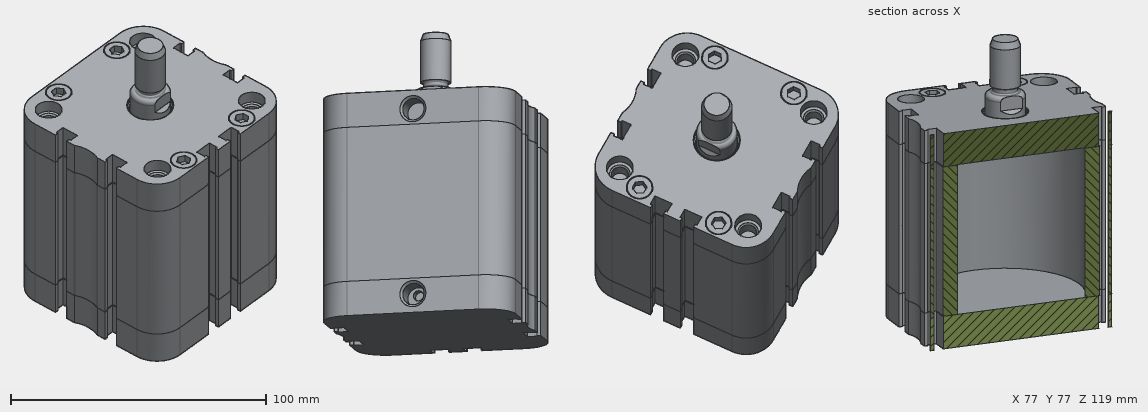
import cadquery as cq
import math


total_height = 119.0
body_width = 77.0
body_height = 89.0
cap_height = 13.7
barrel_height = body_height - 2 * cap_height
corner_radius = 12.0
half_width = body_width / 2
bore_diameter = 63.0

slot_mouth = 5.8
slot_lip = 1.5
cap_slot_width = 7.5
cap_slot_depth = 5.5
barrel_slot_width = 6.8
barrel_slot_depth = 5.1
front_slot_offset = 12.9
side_slot_offset = 6.5

flute_depth = 1.3
flute_width = 11.9
barrel_flute_fillet = 1.0

mount_offset = 28.2
mount_bore_diameter = 10.5
mount_bore_depth = 5.0
mount_cone_diameter = 8.0
mount_thread_diameter = 6.7
mount_thread_depth = 10.7

screw_x = 32.4
screw_y = 17.4
screw_recess_diameter = 10.4
screw_head_diameter = 9.8
screw_groove_depth = 2.4
socket_flats = 5.0
socket_depth = 3.0

port_inset = 7.5
port_rim_diameter = 10.5
port_diameter = 8.6
port_depth = 9.5
passage_diameter = 4.0
passage_offset = 1.1
passage_depth = 3.6

rod_diameter = 16.0
seat_rim_diameter = 18.5
seat_diameter = 17.7
seat_depth = 1.2
relief_diameter = 16.5
relief_depth = 2.4
shoulder_height = 8.2
shoulder_fillet = 2.0
flat_width = 13.0
flat_start = 2.6
neck_diameter = 9.8
neck_height = 2.6
neck_fillet = 0.6
thread_diameter = 12.0
tip_diameter = 10.0
tip_height = 2.7


def t_slot(offset, turn, height, width, depth):
    """Cutter for one T-slot in the -Y side, turned about Z by an angle in degrees."""
    mouth = cq.Workplane("XY").box(slot_mouth, 2 * depth, height, centered=(True, True, False))
    room_depth = depth - slot_lip
    room = (
        cq.Workplane("XY")
        .center(0, slot_lip + room_depth / 2)
        .box(width, room_depth, height, centered=(True, True, False))
    )
    cutter = mouth.union(room).translate((offset, -half_width, 0))
    return cutter.rotate((0, 0, 0), (0, 0, 1), turn)


def flute(turn, height):
    """Cutter for the concave flute in the -Y side, turned about Z by an angle in degrees."""
    radius = (flute_width**2 / 4 + flute_depth**2) / (2 * flute_depth)
    cutter = cq.Workplane("XY").center(0, -half_width + flute_depth - radius).circle(radius).extrude(height)
    return cutter.rotate((0, 0, 0), (0, 0, 1), turn)


def profile_block(height, slot_width, slot_depth):
    """Rounded square block with its slots and flutes, standing on Z = 0."""
    block = (
        cq.Workplane("XY")
        .box(body_width, body_width, height, centered=(True, True, False))
        .edges("|Z")
        .fillet(corner_radius)
    )
    for turn, offset in ((0, front_slot_offset), (90, side_slot_offset), (180, front_slot_offset)):
        for side in (-1, 1):
            block = block.cut(t_slot(side * offset, turn, height, slot_width, slot_depth))
    for turn in (0, 180):
        block = block.cut(flute(turn, height))
    return block


def cap_block():
    return profile_block(cap_height, cap_slot_width, cap_slot_depth)


def hole(diameter, depth, rim_diameter):
    """Cutter for a blind hole going down from Z = 0, with a 45 degree countersunk rim."""
    bevel = (rim_diameter - diameter) / 2
    outline = [
        (0, 0),
        (rim_diameter / 2, 0),
        (diameter / 2, -bevel),
        (diameter / 2, -depth),
        (0, -depth),
    ]
    return cq.Workplane("XZ").polyline(outline).close().revolve(360, (0, 0, 0), (0, 1, 0))


def port(height):
    """Cutter for an air port entering the -X face at a given height."""
    cutter = hole(port_diameter, port_depth, port_rim_diameter)
    return cutter.rotate((0, 0, 0), (0, 1, 0), -90).translate((-half_width, 0, height))


def mounting_hole():
    """Cutter for a counterbored mounting hole going down from Z = 0."""
    counterbore = cq.Workplane("XY").circle(mount_bore_diameter / 2).extrude(-mount_bore_depth)
    thread = hole(mount_thread_diameter, mount_thread_depth - mount_bore_depth, mount_cone_diameter)
    return counterbore.union(thread.translate((0, 0, -mount_bore_depth)))


def screw_head(turn):
    """Cutter for the ring groove and hexagon socket of a screw head at Z = 0."""
    groove = (
        cq.Workplane("XY")
        .circle(screw_recess_diameter / 2)
        .circle(screw_head_diameter / 2)
        .extrude(-screw_groove_depth)
    )
    socket_corners = socket_flats / math.cos(math.pi / 6)
    socket = cq.Workplane("XY").polygon(6, socket_corners).extrude(-socket_depth)
    return groove.union(socket.rotate((0, 0, 0), (0, 0, 1), turn))


def lower_cap():
    cap = cap_block().cut(port(port_inset))
    passage = (
        cq.Workplane("YZ", origin=(-half_width + port_depth, 0, port_inset + passage_offset))
        .circle(passage_diameter / 2)
        .extrude(passage_depth)
    )
    return cap.cut(passage)


def barrel():
    tube = profile_block(barrel_height, barrel_slot_width, barrel_slot_depth)
    for side_x in (-1, 1):
        for side_y in (-1, 1):
            edge_middle = (side_x * flute_width / 2, side_y * half_width, barrel_height / 2)
            tube = tube.edges(cq.NearestToPointSelector(edge_middle)).fillet(barrel_flute_fillet)
    bore = cq.Workplane("XY").circle(bore_diameter / 2).extrude(barrel_height)
    return tube.cut(bore).translate((0, 0, cap_height))


def upper_cap():
    cap = cap_block().cut(port(cap_height - port_inset))
    rod_hole = cq.Workplane("XY").circle(rod_diameter / 2).extrude(cap_height)
    seat = hole(seat_diameter, seat_depth, seat_rim_diameter)
    relief = cq.Workplane("XY").circle(relief_diameter / 2).extrude(-relief_depth)
    cap = cap.cut(rod_hole).cut(seat.union(relief).translate((0, 0, cap_height)))
    for side_x in (-1, 1):
        socket_turn = 30 if side_x < 0 else 0
        for side_y in (-1, 1):
            mount_place = (side_x * mount_offset, side_y * mount_offset, cap_height)
            screw_place = (side_x * screw_x, side_y * screw_y, cap_height)
            cap = cap.cut(mounting_hole().translate(mount_place))
            cap = cap.cut(screw_head(socket_turn).translate(screw_place))
    return cap.translate((0, 0, body_height - cap_height))


def rod_shoulder():
    """Thick part of the rod, from the inner face of the upper cap to the rounded shoulder."""
    shoulder = (
        cq.Workplane("XY", origin=(0, 0, -cap_height))
        .circle(rod_diameter / 2)
        .extrude(cap_height + shoulder_height)
        .faces(">Z")
        .edges()
        .fillet(shoulder_fillet)
    )
    flat_x = flat_width / 2
    outer_x = rod_diameter
    flat_outline = [
        (flat_x, shoulder_height),
        (flat_x, flat_start),
        (outer_x, flat_start - (outer_x - flat_x)),
        (outer_x, shoulder_height),
    ]
    flat = cq.Workplane("XZ").polyline(flat_outline).close().extrude(rod_diameter / 2, both=True)
    return shoulder.cut(flat).cut(flat.mirror("YZ"))


def rod_end():
    """Undercut neck and threaded end of the rod, above the shoulder."""
    rod_length = total_height - body_height
    thread_start = shoulder_height + neck_height
    neck_radius = neck_diameter / 2
    fillet_rim_radius = neck_radius + neck_fillet
    inset = neck_fillet * (1 - math.sqrt(0.5))
    return (
        cq.Workplane("XZ")
        .moveTo(0, shoulder_height)
        .lineTo(fillet_rim_radius, shoulder_height)
        .threePointArc(
            (neck_radius + inset, shoulder_height + inset),
            (neck_radius, shoulder_height + neck_fillet),
        )
        .lineTo(neck_radius, thread_start - neck_fillet)
        .threePointArc((neck_radius + inset, thread_start - inset), (fillet_rim_radius, thread_start))
        .lineTo(thread_diameter / 2, thread_start)
        .lineTo(thread_diameter / 2, rod_length - tip_height)
        .lineTo(tip_diameter / 2, rod_length)
        .lineTo(0, rod_length)
        .close()
        .revolve(360, (0, 0, 0), (0, 1, 0))
    )


def piston_rod():
    return rod_shoulder().union(rod_end()).translate((0, 0, body_height))


result = cq.Compound.makeCompound(
    [lower_cap().val(), barrel().val(), upper_cap().val(), piston_rod().val()]
)